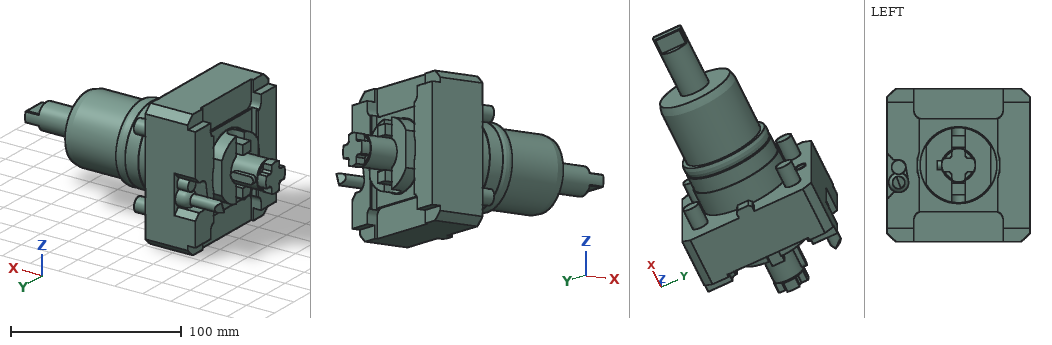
import cadquery as cq
import math


OVERALL_LENGTH = 172.0
EPS = 1.7

WIDTH = 84.0
HEIGHT = 90.0
FRONT_X = -35.6
STEP_X = -30.1
END_POCKET_X = -28.5
STEP_HALF_HEIGHT = 37.0
CORNER_RADIUS = 58.0
CHANNEL_WIDTH = 46.1
CHANNEL_LIP = 1.2
UNDERCUT_WIDTH = 48.5
POCKET_WIDTH = 52.3
POCKET_START_Z = 27.2
POCKET_FILLET = 4.8

DISK_RADIUS = 22.0
DISK_FACE_X = -38.7
DISK_HALF_FLAT = 19.0
DISK_RELIEF_RADIUS = 22.5
DISK_RELIEF_DEPTH = 1.0
KEY_WIDTH = 8.0
KEY_FACE_X = -43.4
KEY_INNER_Z = 10.5
KEY_OUTER_Z = 17.2
SLOT_END_X = -30.3

SPINDLE_RADIUS = 9.6
CROSS_RADIUS = 10.0
CROSS_FACE_X = -63.8
CROSS_BACK_X = -57.8
CROSS_ARM_WIDTH = 8.0
CROSS_INNER_CHAMFER = 1.4
SPINDLE_CHAMFER = 0.7
FEATHER_START_X = -56.5
FEATHER_END_X = -40.3
FEATHER_WIDTH = 5.2
FEATHER_TOP_Y = 12.4

SEAT_RADIUS = 27.7
SEAT_END_X = 15.0
COLLAR_RADIUS = 27.2
GROOVE_START_X = 24.5
GROOVE_BOTTOM_X = 25.0
GROOVE_END_X = 27.2
GROOVE_RADIUS = 26.7
COLLAR_TAPER_X = 29.2
COLLAR_END_X = 31.5
SHANK_RADIUS = 24.1
SHANK_ROUND_X = 65.5
SHANK_END_X = 70.4
SHANK_END_RADIUS = 22.7
SHANK_ROUND_BULGE = 0.2

DRIVE_RADIUS = 9.1
DRIVE_END_X = CROSS_FACE_X + OVERALL_LENGTH
TANG_START_X = 99.0
TANG_THICKNESS = 7.7
TANG_CHAMFER = 0.5

SCREW_RADIUS = 5.0
SCREW_LENGTH = 12.9
SCREW_Y = 30.1
SCREW_Z = 25.0

LUG_LENGTH = 4.6
LUG_HEIGHT = 9.8
LUG_WIDTH = 10.0
LUG_CHAMFER = 1.5

NOTCH_FLOOR_X = -20.6
NOZZLE_Y = 35.1
SCREW_BORE_RADIUS = 4.3
MOUTH_Y = 38.0
SET_SCREW_Z = -1.2
SET_SCREW_RADIUS = 4.1
SET_SCREW_FACE_X = -28.4
NOZZLE_Z = -10.2
NOZZLE_RADIUS = 3.6
NOZZLE_TIP_X = -50.5
NOZZLE_RIDGE_TILT = 21.0
BALL_RADIUS = 5.8
BALL_CENTRE_X = -25.0
PLUG_RADIUS = 3.5
PLUG_LENGTH = 0.5


def box(x0, x1, y0, y1, z0, z1):
    """Box between two opposite corners."""
    return cq.Workplane("XY").box(x1 - x0, y1 - y0, z1 - z0, centered=False).translate((x0, y0, z0))


def rod(x0, x1, radius, y=0.0, z=0.0):
    """Cylinder along X."""
    return cq.Workplane("YZ", origin=(x0, y, z)).circle(radius).extrude(x1 - x0)


def make_housing():
    body = box(FRONT_X, 0, -WIDTH / 2, WIDTH / 2, -HEIGHT / 2, HEIGHT / 2)
    body = body.intersect(rod(FRONT_X, 0, CORNER_RADIUS))

    half_channel = CHANNEL_WIDTH / 2
    half_undercut = UNDERCUT_WIDTH / 2
    half_pocket = POCKET_WIDTH / 2
    top = HEIGHT / 2 + EPS
    front = FRONT_X - EPS
    body = body.cut(box(front, STEP_X, -half_channel, half_channel, -top, top))
    body = body.cut(box(FRONT_X + CHANNEL_LIP, STEP_X, -half_undercut, half_undercut, -top, top))
    body = body.cut(rod(front, STEP_X, half_undercut))
    body = body.cut(rod(front, STEP_X + DISK_RELIEF_DEPTH, DISK_RELIEF_RADIUS))

    for side in (-1, 1):
        step_z = sorted((side * STEP_HALF_HEIGHT, side * top))
        pocket_z = sorted((side * POCKET_START_Z, side * top))
        inner_edges = "|X and <Z" if side > 0 else "|X and >Z"
        body = body.cut(box(front, STEP_X, -WIDTH, WIDTH, *step_z))
        pocket = box(front, END_POCKET_X, -half_pocket, half_pocket, *pocket_z)
        body = body.cut(pocket.edges(inner_edges).fillet(POCKET_FILLET))
    return body


def make_nozzle_notch():
    """Side notch: two bores joined by a straight wall, opening to the +Y side along 45 degree walls."""
    diagonal = math.sqrt(0.5)
    top_z = SET_SCREW_Z + SCREW_BORE_RADIUS
    bottom_z = NOZZLE_Z - BALL_RADIUS
    outside_y = WIDTH / 2 + EPS
    mouth_rise = outside_y - MOUTH_Y
    screw_arc_middle = (
        NOZZLE_Y - SCREW_BORE_RADIUS * diagonal,
        SET_SCREW_Z + SCREW_BORE_RADIUS * diagonal,
    )
    ball_arc_middle = (NOZZLE_Y - BALL_RADIUS * diagonal, NOZZLE_Z - BALL_RADIUS * diagonal)
    return (
        cq.Workplane("YZ", origin=(FRONT_X - EPS, 0, 0))
        .moveTo(outside_y, top_z + mouth_rise)
        .lineTo(MOUTH_Y, top_z)
        .lineTo(NOZZLE_Y, top_z)
        .threePointArc(screw_arc_middle, (NOZZLE_Y - SCREW_BORE_RADIUS, SET_SCREW_Z))
        .lineTo(NOZZLE_Y - BALL_RADIUS, NOZZLE_Z)
        .threePointArc(ball_arc_middle, (NOZZLE_Y, bottom_z))
        .lineTo(MOUTH_Y, bottom_z)
        .lineTo(outside_y, bottom_z - mouth_rise)
        .close()
        .extrude(NOTCH_FLOOR_X - FRONT_X + EPS)
    )


def make_nozzle():
    """Round pin with a wedge tip on a ball-ended holder, with the set screw that clamps it."""
    ridge = (
        cq.Workplane("XY", origin=(NOZZLE_TIP_X, 0, -BALL_RADIUS))
        .polyline([(0, 0), (BALL_RADIUS, -BALL_RADIUS), (-FRONT_X, -BALL_RADIUS),
                   (-FRONT_X, BALL_RADIUS), (BALL_RADIUS, BALL_RADIUS)])
        .close()
        .extrude(2 * BALL_RADIUS)
        .rotate((0, 0, 0), (1, 0, 0), -NOZZLE_RIDGE_TILT)
        .translate((0, NOZZLE_Y, NOZZLE_Z))
    )
    pin = rod(NOZZLE_TIP_X, NOTCH_FLOOR_X, NOZZLE_RADIUS, NOZZLE_Y, NOZZLE_Z).intersect(ridge)
    ball = cq.Workplane("XY", origin=(BALL_CENTRE_X, NOZZLE_Y, NOZZLE_Z)).sphere(BALL_RADIUS)
    holder = rod(BALL_CENTRE_X, NOTCH_FLOOR_X + EPS, BALL_RADIUS, NOZZLE_Y, NOZZLE_Z)
    set_screw = rod(SET_SCREW_FACE_X, NOTCH_FLOOR_X + EPS, SET_SCREW_RADIUS, NOZZLE_Y, SET_SCREW_Z)
    return holder.union(ball).union(pin).union(set_screw)


def make_nose_disk():
    back_x = STEP_X + DISK_RELIEF_DEPTH + EPS
    disk = rod(DISK_FACE_X, back_x, DISK_RADIUS)
    disk = disk.intersect(
        box(DISK_FACE_X, back_x, -DISK_HALF_FLAT, DISK_HALF_FLAT, -DISK_RADIUS, DISK_RADIUS)
    )
    half_key = KEY_WIDTH / 2

    def round_ended(x0, z0, z1):
        straight = box(x0, SLOT_END_X - half_key, -half_key, half_key, z0, z1)
        end = cq.Workplane("XY", origin=(SLOT_END_X - half_key, 0, z0)).circle(half_key).extrude(z1 - z0)
        return straight.union(end)

    slot_height = DISK_RADIUS + EPS
    disk = disk.cut(round_ended(DISK_FACE_X - EPS, -slot_height, slot_height))
    for inner_z, outer_z in ((KEY_INNER_Z, KEY_OUTER_Z), (-KEY_OUTER_Z, -KEY_INNER_Z)):
        disk = disk.union(round_ended(KEY_FACE_X, inner_z, outer_z))
    return disk


def make_spindle():
    spindle = rod(CROSS_BACK_X, -EPS, SPINDLE_RADIUS).faces("<X").chamfer(SPINDLE_CHAMFER)

    cross = rod(CROSS_FACE_X, CROSS_BACK_X, CROSS_RADIUS)
    half_arm = CROSS_ARM_WIDTH / 2
    for quarter in range(4):
        corner = box(CROSS_FACE_X, CROSS_BACK_X, half_arm, CROSS_RADIUS, half_arm, CROSS_RADIUS)
        corner = corner.edges("|X and <Y and <Z").chamfer(CROSS_INNER_CHAMFER)
        cross = cross.cut(corner.rotate((0, 0, 0), (1, 0, 0), 90 * quarter))

    feather = (
        cq.Workplane("XZ", origin=((FEATHER_START_X + FEATHER_END_X) / 2, 0, 0))
        .slot2D(FEATHER_END_X - FEATHER_START_X, FEATHER_WIDTH)
        .extrude(-FEATHER_TOP_Y)
    )
    return spindle.union(cross).union(feather)


def make_shank():
    return (
        cq.Workplane("XY")
        .moveTo(-EPS, 0)
        .lineTo(-EPS, SEAT_RADIUS)
        .lineTo(SEAT_END_X, SEAT_RADIUS)
        .lineTo(SEAT_END_X, COLLAR_RADIUS)
        .lineTo(GROOVE_START_X, COLLAR_RADIUS)
        .lineTo(GROOVE_BOTTOM_X, GROOVE_RADIUS)
        .lineTo(GROOVE_END_X, COLLAR_RADIUS)
        .lineTo(COLLAR_TAPER_X, COLLAR_RADIUS)
        .lineTo(COLLAR_END_X, GROOVE_RADIUS)
        .lineTo(COLLAR_END_X, SHANK_RADIUS)
        .lineTo(SHANK_ROUND_X, SHANK_RADIUS)
        .sagittaArc((SHANK_END_X, SHANK_END_RADIUS), SHANK_ROUND_BULGE)
        .lineTo(SHANK_END_X, 0)
        .close()
        .revolve(360, (0, 0, 0), (1, 0, 0))
    )


def make_drive():
    drive = rod(SHANK_END_X - EPS, DRIVE_END_X, DRIVE_RADIUS)
    for side in (-1, 1):
        flat_z = sorted((side * TANG_THICKNESS / 2, side * 2 * DRIVE_RADIUS))
        drive = drive.cut(box(TANG_START_X, DRIVE_END_X + EPS, -DRIVE_RADIUS, DRIVE_RADIUS, *flat_z))
    return drive.faces("|Z").edges("not(<X)").chamfer(TANG_CHAMFER)


def make_lug():
    bottom = -HEIGHT / 2
    lug = box(-EPS, LUG_LENGTH, -LUG_WIDTH / 2, LUG_WIDTH / 2, bottom, bottom + LUG_HEIGHT)
    return lug.edges("|Z and >X").chamfer(LUG_CHAMFER)


housing = make_housing()
housing = housing.cut(make_nozzle_notch())

result = housing.union(make_nose_disk()).union(make_spindle()).union(make_nozzle())
result = result.union(make_shank()).union(make_drive()).union(make_lug())
result = result.union(rod(-EPS, PLUG_LENGTH, PLUG_RADIUS, NOZZLE_Y, SET_SCREW_Z))
for y in (-SCREW_Y, SCREW_Y):
    for z in (-SCREW_Z, SCREW_Z):
        result = result.union(rod(-EPS, SCREW_LENGTH, SCREW_RADIUS, y, z))